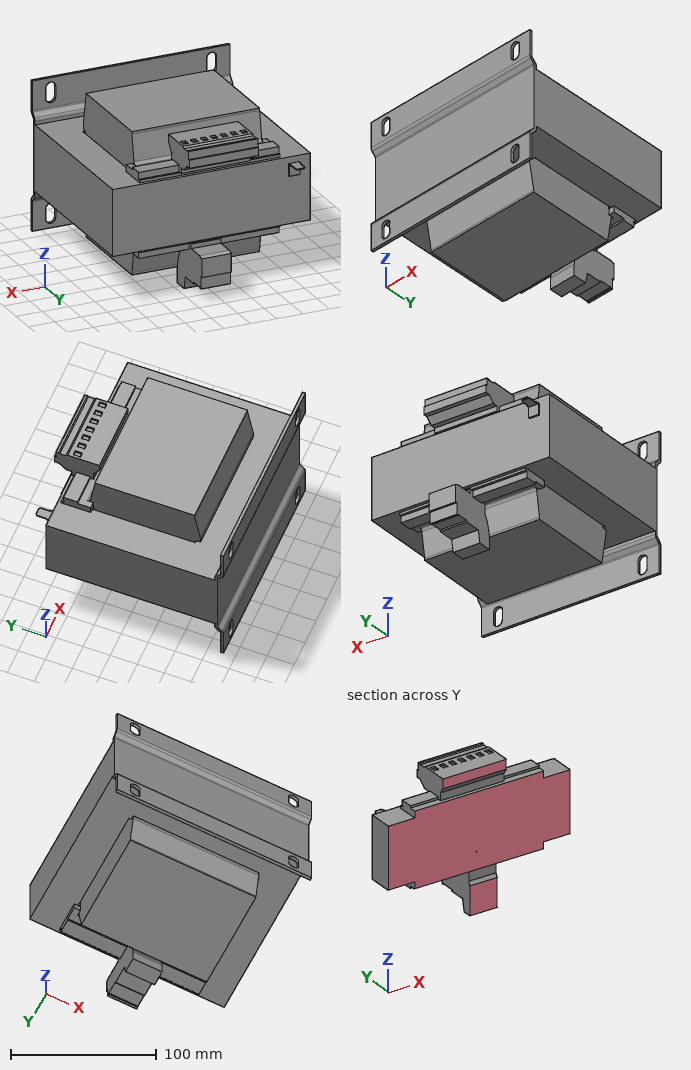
import cadquery as cq


core_width = 150.0
core_height = 50.0
core_front = 6.6
core_back = 131.5
window_width = 100.5
window_front = 31.2
window_back = 106.6

coil_width = 96.9
coil_height = 107.1
coil_front = 27.8
coil_back = 111.5
coil_end_front = 32.1
coil_end_back = 106.0
coil_rim = 1.8
coil_straight_z = 29.1
coil_flare_depth = 2.1
coil_flare_rise = 2.1

sheet = 2.2
feet_height = 112.2
foot_bend_z = 32.4
inner_bend_radius = 1.2
outer_bend_radius = inner_bend_radius + sheet
slot_length = 15.3
slot_width = 7.5
slot_spacing_x = 122.1
slot_spacing_z = 90.0

carrier_width = 106.5
carrier_front = 107.1
carrier_back = 127.2
carrier_step_y = 116.8
carrier_low_z = 30.3
carrier_high_z = 32.1
carrier_lip_back = 129.0
carrier_lip_z = 27.0

terminal_pitch = 7.5
neck_back = 130.5
upper_terminals = 7
upper_start_x = -30.0
upper_top_z = 48.5
upper_groove_z = 47.2
upper_ridge_z = 47.8
upper_back = 142.2
upper_nose_back = 143.4
upper_nose_bottom_z = 35.8
upper_nose_top_z = 41.8
upper_front = 110.1
upper_neck_front = 114.5
lower_terminals = 3
lower_start_x = -7.5
lower_top_z = -30.5
lower_back = 147.6
lower_step_back = 146.2
lower_step_z = -45.5
lower_ridge_z = -54.6
lower_groove_z = -54.0
lower_groove_back = 144.2
lower_body_z = -55.2
lower_bottom_z = -64.6
lower_front = 107.8
lower_neck_front = 113.2
opening_width = 3.6
opening_front = 125.1
opening_back = 130.2
opening_depth = 1.5

tab_x = -62.5
tab_base_width = 8.1
tab_blade_width = 6.9
tab_shoulder_y = 134.8
tab_tip_y = 142.8
tab_corner = 1.0
tab_top_z = 20.1
tab_bottom_z = 11.0
tab_leg_thickness = 1.2
tab_blade_thickness = 0.8

core_half = core_height / 2


def block(x_range, y_range, z_range):
    """Axis-aligned box from its three coordinate ranges."""
    (x0, x1), (y0, y1), (z0, z1) = x_range, y_range, z_range
    return cq.Workplane("XY").box(x1 - x0, y1 - y0, z1 - z0, centered=False).translate((x0, y0, z0))


def side_profile(points, start_x, width):
    """Extrude a closed (Y, Z) outline along X."""
    return cq.Workplane("YZ").workplane(offset=start_x).polyline(points).close().extrude(width)


def make_core():
    """Rectangular core with one through window for the coil."""
    half_width = core_width / 2
    half_window = window_width / 2
    body = block((-half_width, half_width), (core_front, core_back), (-core_half, core_half))
    window = block((-half_window, half_window), (window_front, window_back), (-core_half, core_half))
    return body.cut(window)


def make_coil():
    """Coil limb through the window plus the two tapered winding heads over the core."""
    half_width = coil_width / 2
    half_height = coil_height / 2
    rim_z = half_height - coil_rim
    coil = block((-half_width, half_width), (window_front, window_back), (-core_half, core_half))
    head = (
        cq.Workplane("YZ")
        .workplane(offset=-half_width)
        .moveTo(coil_front, core_half)
        .lineTo(coil_front, coil_straight_z)
        .lineTo(coil_end_front, rim_z)
        .lineTo(coil_end_front, half_height)
        .lineTo(coil_end_back, half_height)
        .lineTo(coil_end_back, rim_z)
        .lineTo(coil_back - coil_flare_depth, carrier_low_z + coil_flare_rise)
        .tangentArcPoint((coil_back, carrier_low_z), relative=False)
        .lineTo(coil_back, core_half)
        .close()
        .extrude(coil_width)
    )
    return coil.union(head).union(head.mirror("XY"))


def make_plate():
    """Bent sheet: flat middle on the core and two feet stepped forward at 45 degrees."""
    middle_front = core_front - sheet
    middle_bend_z = foot_bend_z - middle_front
    bend_shift = sheet * (2 ** 0.5 - 1)
    half_height = feet_height / 2
    front_face = [(0, half_height), (0, foot_bend_z), (middle_front, middle_bend_z)]
    back_face = [
        (core_front, middle_bend_z + bend_shift),
        (sheet, foot_bend_z + bend_shift),
        (sheet, half_height),
    ]
    upper = front_face + [(middle_front, 0), (core_front, 0)] + back_face
    half = side_profile(upper, -core_width / 2, core_width)
    plate = half.union(half.mirror("XY"))

    def bend_edges(corners):
        picked = cq.Workplane("XY")
        for y, z in corners:
            for side in (1, -1):
                edge = plate.edges(cq.selectors.NearestToPointSelector((0, y, side * z)))
                picked = picked.add(edge)
        return picked.vals()

    outer = bend_edges([front_face[1], back_face[0]])
    inner = bend_edges([front_face[2], back_face[1]])
    rounded = plate.val().fillet(outer_bend_radius, outer).fillet(inner_bend_radius, inner)
    slots = (
        cq.Workplane("XZ")
        .rarray(slot_spacing_x, slot_spacing_z, 2, 2)
        .slot2D(slot_length, slot_width, 90)
        .extrude(-sheet)
    )
    return cq.Workplane(rounded).cut(slots)


def make_carrier():
    """Upper terminal carrier with a stepped top and a low lip at the back."""
    return side_profile(
        [
            (carrier_front, core_half),
            (carrier_front, carrier_low_z),
            (carrier_step_y, carrier_low_z),
            (carrier_step_y, carrier_high_z),
            (carrier_back, carrier_high_z),
            (carrier_back, carrier_lip_z),
            (carrier_lip_back, carrier_lip_z),
            (carrier_lip_back, core_half),
        ],
        -carrier_width / 2,
        carrier_width,
    )


def make_upper_terminals():
    """Upper block: one extruded outline with a shallow opening over each terminal."""
    body = side_profile(
        [
            (carrier_back, carrier_lip_z),
            (neck_back, carrier_lip_z),
            (neck_back, 31.0),
            (134.5, 31.2),
            (139.8, upper_nose_bottom_z),
            (upper_nose_back, upper_nose_bottom_z),
            (upper_nose_back, upper_nose_top_z),
            (upper_back, upper_nose_top_z),
            (upper_back, upper_ridge_z),
            (140.2, upper_ridge_z),
            (139.4, upper_groove_z),
            (134.8, upper_groove_z),
            (133.5, upper_top_z),
            (upper_front, upper_top_z),
            (upper_front, 42.9),
            (upper_neck_front, 36.5),
            (upper_neck_front, carrier_low_z),
            (carrier_step_y, carrier_low_z),
            (carrier_step_y, carrier_lip_z),
        ],
        upper_start_x,
        upper_terminals * terminal_pitch,
    )
    for index in range(upper_terminals):
        middle_x = upper_start_x + (index + 0.5) * terminal_pitch
        opening = block(
            (middle_x - opening_width / 2, middle_x + opening_width / 2),
            (opening_front, opening_back),
            (upper_top_z - opening_depth, upper_top_z),
        )
        body = body.cut(opening)
    return body


def make_lower_terminals():
    """Lower block: one extruded outline with a long skirt at the front."""
    return side_profile(
        [
            (carrier_back, -carrier_lip_z),
            (neck_back, -carrier_lip_z),
            (neck_back, lower_top_z),
            (lower_groove_back, lower_top_z),
            (lower_back, -31.5),
            (lower_back, lower_step_z),
            (lower_step_back, lower_step_z),
            (lower_step_back, lower_ridge_z),
            (144.6, lower_ridge_z),
            (lower_groove_back, lower_groove_z),
            (134.5, lower_groove_z),
            (134.4, lower_body_z),
            (121.0, lower_body_z),
            (119.1, lower_bottom_z),
            (lower_front, lower_bottom_z),
            (lower_front, -54.8),
            (108.5, -50.5),
            (110.2, -44.0),
            (lower_neck_front, -38.2),
            (lower_neck_front, -carrier_low_z),
            (carrier_step_y, -carrier_low_z),
            (carrier_step_y, -carrier_lip_z),
        ],
        lower_start_x,
        lower_terminals * terminal_pitch,
    )


def make_earth_tab():
    """L-shaped tab: a leg against the back of the core and a blade pointing away from it."""
    half_base = tab_base_width / 2
    base_x = (tab_x - half_base, tab_x + half_base)
    half_blade = tab_blade_width / 2
    blade_x = (tab_x - half_blade, tab_x + half_blade)
    blade_z = (tab_top_z - tab_blade_thickness, tab_top_z)
    leg = block(base_x, (core_back, core_back + tab_leg_thickness), (tab_bottom_z, tab_top_z))
    shoulder = block(base_x, (core_back, tab_shoulder_y), blade_z)
    blade = block(blade_x, (core_back, tab_tip_y), blade_z).edges("|Z and >Y").chamfer(tab_corner)
    return leg.union(shoulder).union(blade)


carrier = make_carrier()
result = (
    make_core()
    .union(make_coil())
    .union(make_plate())
    .union(carrier)
    .union(carrier.mirror("XY"))
    .union(make_upper_terminals())
    .union(make_lower_terminals())
    .union(make_earth_tab())
)